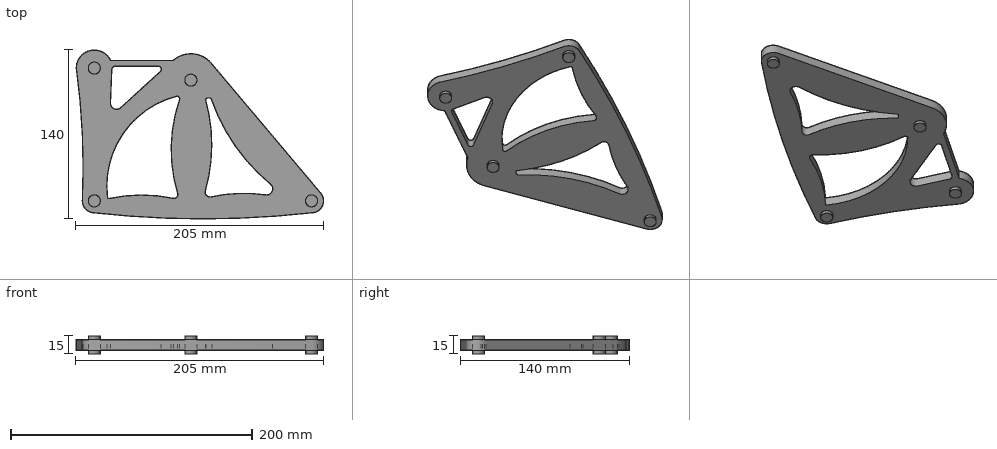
import cadquery as cq
import math

plate_thickness = 9.0
pin_diameter = 10.0
pin_protrusion = 3.0

lower_left = (0.0, 0.0)
lower_right = (180.0, 0.0)
upper_left = (0.0, 110.0)
upper_middle = (80.0, 100.0)
pin_centres = [lower_left, lower_right, upper_left, upper_middle]

lower_end_radius = 10.0
upper_left_radius = 15.0
upper_middle_radius = 22.0
bottom_bulge = 5.0
bridge_top = 116.5
bridge_width = 5.0

bridge_bottom = bridge_top - bridge_width
triangle_corners = [
    ((14.7, bridge_bottom), 3.0),
    ((59.4, bridge_bottom), 2.5),
    ((13.0, 69.2), 5.0),
]

left_window_corners = [
    ((11.2, 1.8), 1.0, (31.75, 65.3)),
    ((71.8, 87.4), 2.0, (63.6, 43.2)),
    ((70.6, 1.0), 3.0, (39.0, 4.95)),
]
right_window_corners = [
    ((91.9, 85.2), 1.5, None),
    ((96.5, 85.2), 1.5, (117.3, 44.6)),
    ((169.0, -2.0), 5.0, (124.25, 6.35)),
    ((90.0, 1.7), 4.0, (97.4, 45.7)),
]


def on_circle(centre, radius, angle):
    """Point on a circle at an angle in radians."""
    return (centre[0] + radius * math.cos(angle), centre[1] + radius * math.sin(angle))


def plate_blank():
    """Plate without windows: round ends joined by curved and straight edges."""
    run = lower_right[0] - upper_middle[0]
    rise = lower_right[1] - upper_middle[1]
    radius_step = upper_middle_radius - lower_end_radius
    normal_angle = math.atan2(rise, run) + math.acos(radius_step / math.hypot(run, rise))

    left_meeting = math.asin((bridge_top - upper_left[1]) / upper_left_radius)
    middle_meeting = math.pi - math.asin((bridge_top - upper_middle[1]) / upper_middle_radius)

    left_edge_x = lower_left[0] - lower_end_radius
    bottom_edge_y = lower_left[1] - lower_end_radius
    mid_length = (lower_left[0] + lower_right[0]) / 2
    mid_height = (lower_left[1] + upper_left[1]) / 2
    return (
        cq.Workplane("XY")
        .moveTo(lower_left[0], bottom_edge_y)
        .threePointArc(
            on_circle(lower_left, lower_end_radius, math.radians(225)),
            (left_edge_x, lower_left[1]),
        )
        .threePointArc((left_edge_x, mid_height), on_circle(upper_left, upper_left_radius, math.pi))
        .threePointArc(
            on_circle(upper_left, upper_left_radius, (math.pi + left_meeting) / 2),
            on_circle(upper_left, upper_left_radius, left_meeting),
        )
        .lineTo(*on_circle(upper_middle, upper_middle_radius, middle_meeting))
        .threePointArc(
            on_circle(upper_middle, upper_middle_radius, (middle_meeting + normal_angle) / 2),
            on_circle(upper_middle, upper_middle_radius, normal_angle),
        )
        .lineTo(*on_circle(lower_right, lower_end_radius, normal_angle))
        .threePointArc(
            on_circle(lower_right, lower_end_radius, (normal_angle - math.pi / 2) / 2),
            (lower_right[0], bottom_edge_y),
        )
        .threePointArc((mid_length, bottom_edge_y - bottom_bulge), (lower_left[0], bottom_edge_y))
        .close()
        .extrude(plate_thickness)
    )


def window(corners):
    """Cutter for a window with filleted corners and straight or arched edges."""
    points = [point for point, radius, arch in corners]
    outline = cq.Workplane("XY").moveTo(*points[0])
    for index, (point, radius, arch) in enumerate(corners):
        end = points[(index + 1) % len(points)]
        if arch is None:
            outline = outline.lineTo(*end)
        else:
            outline = outline.threePointArc(arch, end)
    cutter = outline.close().extrude(plate_thickness)
    for point, radius, arch in corners:
        corner_middle = (point[0], point[1], plate_thickness / 2)
        cutter = cutter.edges("|Z").edges(cq.NearestToPointSelector(corner_middle)).fillet(radius)
    return cutter


def pin(centre):
    """Round pin that stands out of both faces of the plate."""
    return (
        cq.Workplane("XY", origin=(centre[0], centre[1], -pin_protrusion))
        .circle(pin_diameter / 2)
        .extrude(plate_thickness + 2 * pin_protrusion)
    )


pins = [pin(centre) for centre in pin_centres]

plate = plate_blank()
plate = plate.cut(window([(point, radius, None) for point, radius in triangle_corners]))
plate = plate.cut(window(left_window_corners))
plate = plate.cut(window(right_window_corners))
for pin_body in pins:
    plate = plate.cut(pin_body)

result = cq.Compound.makeCompound([plate.val(), *[pin_body.val() for pin_body in pins]])